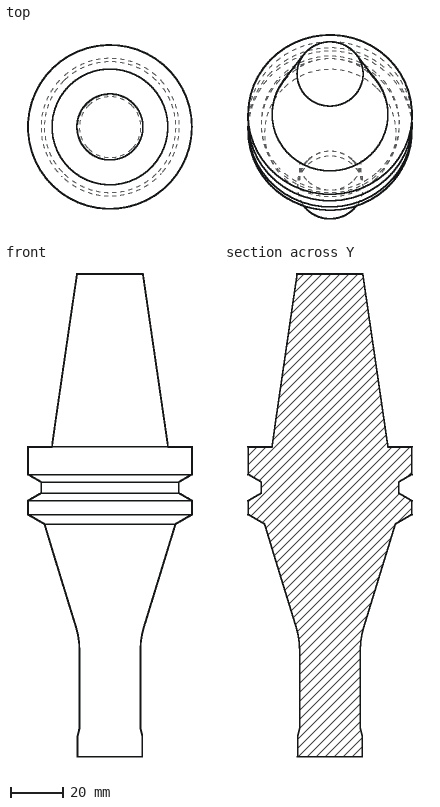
import cadquery as cq
import math


gauge_radius = 44.45 / 2
taper_length = 65.4
taper_ratio = 7 / 24
taper_tip_radius = gauge_radius - taper_length * taper_ratio / 2

flange_radius = 63 / 2
flange_top_z = -1.0
flange_bottom_z = -27.0
groove_floor_radius = 53 / 2
groove_center_z = -16.6
groove_mouth_width = 10.0
flank_slope = math.tan(math.radians(30))
groove_mouth_top_z = groove_center_z + groove_mouth_width / 2
groove_mouth_bottom_z = groove_center_z - groove_mouth_width / 2
groove_flank_height = (flange_radius - groove_floor_radius) * flank_slope

neck_top_radius = 50.4 / 2
neck_top_z = flange_bottom_z - (flange_radius - neck_top_radius) * flank_slope

overall_projection = 120.0
shank_radius = 23.5 / 2
collar_radius = 25 / 2
collar_length = 8.0
collar_lead_length = 3.0
nose_z = -overall_projection
collar_top_z = nose_z + collar_length
shank_bottom_z = collar_top_z + collar_lead_length

blend_radius = 30.0
blend_end_z = -79.0
blend_center_radius = shank_radius + blend_radius
center_to_neck_r = blend_center_radius - neck_top_radius
center_to_neck_z = neck_top_z - blend_end_z
center_to_neck = math.hypot(center_to_neck_r, center_to_neck_z)
angle_to_neck = math.atan2(center_to_neck_r, center_to_neck_z)
neck_half_angle = math.asin(blend_radius / center_to_neck) - angle_to_neck


def blend_point(angle):
    """Point (radius, z) on the blend arc, at an angle measured up from the shank end."""
    return (
        blend_center_radius - blend_radius * math.cos(angle),
        blend_end_z + blend_radius * math.sin(angle),
    )


def half_profile():
    """Closed half section of the holder, drawn from the taper tip down to the nose."""
    return (
        cq.Workplane("XZ")
        .moveTo(0, taper_length)
        .lineTo(taper_tip_radius, taper_length)
        .lineTo(gauge_radius, 0)
        .lineTo(gauge_radius, flange_top_z)
        .lineTo(flange_radius, flange_top_z)
        .lineTo(flange_radius, groove_mouth_top_z)
        .lineTo(groove_floor_radius, groove_mouth_top_z - groove_flank_height)
        .lineTo(groove_floor_radius, groove_mouth_bottom_z + groove_flank_height)
        .lineTo(flange_radius, groove_mouth_bottom_z)
        .lineTo(flange_radius, flange_bottom_z)
        .lineTo(neck_top_radius, neck_top_z)
        .lineTo(*blend_point(neck_half_angle))
        .threePointArc(blend_point(neck_half_angle / 2), (shank_radius, blend_end_z))
        .lineTo(shank_radius, shank_bottom_z)
        .lineTo(collar_radius, collar_top_z)
        .lineTo(collar_radius, nose_z)
        .lineTo(0, nose_z)
        .close()
    )


result = half_profile().revolve(360, (0, 0, 0), (0, 1, 0))